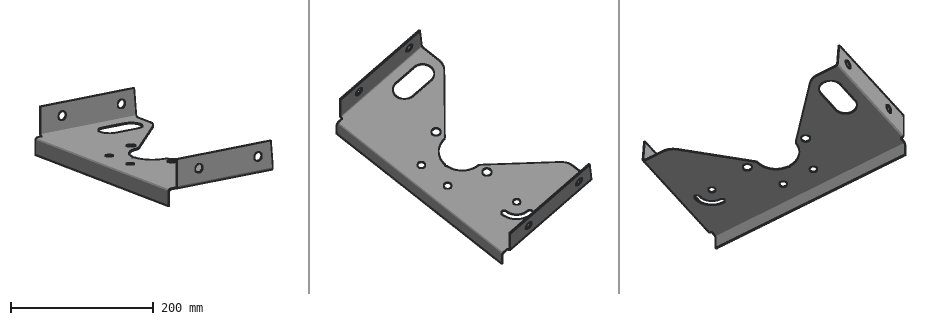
import cadquery as cq
import math

length = 330.2
depth = 177.0
height = 67.7

sheet = 2.0
inner_radius = 3.3
outer_radius = inner_radius + sheet

web_bottom = 23.5
web_top = web_bottom + sheet
web_half = length / 2 - outer_radius

flange_front = 12.0
flange_overlap = 3.3
flange_taper = 5.0
flange_hole_diameter = 13.0
flange_hole_z = 48.2
flange_hole_ys = (49.5, 151.5)

notch_radius = 32.7
notch_center_y = 87.5
notch_mouth_half = 119.5
notch_angle = 46.0
mouth_fillet = 25.0
seat_fillet = 6.5

upper_hole = {"x": 49.2, "y": 86.2, "diameter": 13.0}
lower_hole = {"x": 25.5, "y": 31.5, "diameter": 11.0}

slot_x = -130.8
slot_y = 126.0
slot_length = 69.5
slot_width = 32.5

pivot_x = 114.2
pivot_y = 78.3
pivot_diameter = 10.2
arc_radius = 25.5
arc_width = 8.0


def bent_profile(plane, edge, bend_start, flange_end, inside, outside):
    """L section: web from edge to bend_start, rounded bend, flange to flange_end.

    inside and outside are the web surface heights on the two sides of the bend.
    The bend runs toward smaller values of the first plane axis.
    """
    turn = math.copysign(1, inside - outside)
    bend_center = outside + turn * outer_radius
    diagonal = math.sqrt(0.5)

    def bend_middle(radius):
        return (bend_start - radius * diagonal, bend_center - turn * radius * diagonal)

    return (
        cq.Workplane(plane)
        .moveTo(edge, outside)
        .lineTo(bend_start, outside)
        .threePointArc(bend_middle(outer_radius), (bend_start - outer_radius, bend_center))
        .lineTo(bend_start - outer_radius, flange_end)
        .lineTo(bend_start - inner_radius, flange_end)
        .lineTo(bend_start - inner_radius, bend_center)
        .threePointArc(bend_middle(inner_radius), (bend_start, inside))
        .lineTo(edge, inside)
        .close()
    )


def front_section():
    """Web with the front lip bent down."""
    profile = bent_profile("YZ", depth, outer_radius, 0, web_bottom, web_top)
    return profile.extrude(web_half, both=True)


def left_flange():
    """Upright flange with a slanted rear edge and two holes."""
    profile = bent_profile("XZ", flange_overlap - web_half, -web_half, height, web_top, web_bottom)
    flange = profile.extrude(flange_front - depth).translate((0, flange_front, 0))
    taper_start = web_bottom + outer_radius
    setback = (height - taper_start) * math.tan(math.radians(flange_taper))
    rear_waste = (
        cq.Workplane("YZ")
        .polyline([(depth, taper_start), (depth, height), (depth - setback, height)])
        .close()
        .extrude(-length)
    )
    holes = (
        cq.Workplane("YZ")
        .pushPoints([(y, flange_hole_z) for y in flange_hole_ys])
        .circle(flange_hole_diameter / 2)
        .extrude(-length)
    )
    return flange.cut(rear_waste).cut(holes)


def web_sketch():
    """Workplane on the underside of the web."""
    return cq.Workplane("XY").workplane(offset=web_bottom)


def cut_notch(body):
    """Cut the V and its round seat, then round the four plan corners."""
    slope = math.tan(math.radians(notch_angle))
    apex_y = depth - notch_mouth_half * slope
    vee = (
        web_sketch()
        .polyline([(-notch_mouth_half, depth), (notch_mouth_half, depth), (0, apex_y)])
        .close()
        .extrude(sheet)
    )
    seat = web_sketch().center(0, notch_center_y).circle(notch_radius).extrude(sheet)
    drop = apex_y - notch_center_y
    half_linear = slope * drop
    quadratic = 1 + slope**2
    discriminant = half_linear**2 - quadratic * (drop**2 - notch_radius**2)
    seat_x = (math.sqrt(discriminant) - half_linear) / quadratic
    seat_y = apex_y + slope * seat_x
    body = body.cut(vee).cut(seat)
    for corner_x, corner_y, radius in (
        (notch_mouth_half, depth, mouth_fillet),
        (seat_x, seat_y, seat_fillet),
    ):
        for side in (-1, 1):
            corner = (side * corner_x, corner_y, web_bottom + sheet / 2)
            body = body.edges(cq.selectors.NearestToPointSelector(corner)).fillet(radius)
    return body


def round_holes():
    """Pivot hole and the two mirrored hole pairs."""
    cutter = web_sketch().center(pivot_x, pivot_y).circle(pivot_diameter / 2).extrude(sheet)
    for hole in (upper_hole, lower_hole):
        pair = [(-hole["x"], hole["y"]), (hole["x"], hole["y"])]
        cutter = cutter.union(web_sketch().pushPoints(pair).circle(hole["diameter"] / 2).extrude(sheet))
    return cutter


def long_slot():
    return web_sketch().center(slot_x, slot_y).slot2D(slot_length, slot_width, 90).extrude(sheet)


def arc_slot():
    """Round-ended slot sweeping the lower right quarter around the pivot."""
    outer = arc_radius + arc_width / 2
    ring = web_sketch().center(pivot_x, pivot_y).circle(outer).circle(outer - arc_width).extrude(sheet)
    quarter = web_sketch().center(pivot_x, pivot_y).rect(outer, -outer, centered=False).extrude(sheet)
    ends = (
        web_sketch()
        .pushPoints([(pivot_x + arc_radius, pivot_y), (pivot_x, pivot_y - arc_radius)])
        .circle(arc_width / 2)
        .extrude(sheet)
    )
    return ring.intersect(quarter).union(ends)


flange = left_flange()
body = front_section().union(flange).union(flange.mirror("YZ"))
body = cut_notch(body)
result = body.cut(round_holes()).cut(long_slot()).cut(arc_slot())